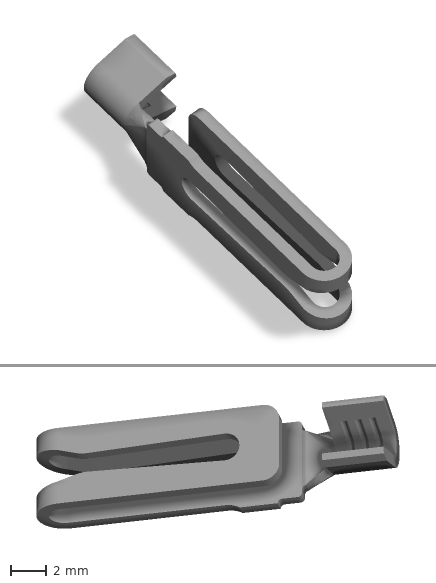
import cadquery as cq
import math

length = 20.65
thickness = 0.7
plate_half_height = 2.4

clip_depth = 3.15
bend_radius = clip_depth / 2
bend_x = length - bend_radius
return_leg_x = 6.22
return_corner_radius = 0.97

plate_x = 5.5
plate_corner_radius = 0.25
shoulder_half_height = 2.65
shoulder_step = shoulder_half_height - plate_half_height
shoulder_start_x = 6.9
shoulder_end_x = 9.1
shoulder_runout = 0.85
shoulder_runout_radius = (shoulder_runout**2 + shoulder_step**2) / (2 * shoulder_step)

slot_x = 8.53
slot_radius = 0.85
slot_throat_x = 17.72
slot_throat_half = 0.58
slot_bend_half = 1.0
slot_mouth_half = 1.3
slot_throat_blend = 2.06

barrel_length = 3.57
barrel_radius = 1.45
barrel_inner_radius = barrel_radius - thickness
wing_angle = math.radians(16)
wing_tip_y = 3.82
wing_bevel_y = 3.05
wing_edge_y = 3.74
wing_edge_half = 1.84

groove_count = 3
groove_width = 0.4
groove_pitch = 0.83
groove_depth = 0.19
groove_end_y = 2.58

neck_x = 5.27
neck_half_height = 1.73
neck_offset = 0.072
neck_facet_angle = math.radians(8)
neck_corner_width = 0.06


def barrel_arc_point(radius, side):
    """(y, z) where a barrel arc runs tangentially into a straight wing."""
    y = barrel_radius - radius * math.sin(wing_angle)
    return y, side * radius * math.cos(wing_angle)


def wing_point(radius, y, side):
    """(y, z) on the straight wing face that is tangent to the given barrel arc."""
    start_y, start_z = barrel_arc_point(radius, 1)
    return y, side * (start_z + (y - start_y) * math.tan(wing_angle))


def make_barrel():
    """Open barrel profile extruded along X."""
    outer_low = barrel_arc_point(barrel_radius, -1)
    inner_high = barrel_arc_point(barrel_inner_radius, 1)
    return (
        cq.Workplane("YZ")
        .moveTo(*outer_low)
        .threePointArc((0, 0), barrel_arc_point(barrel_radius, 1))
        .lineTo(*wing_point(barrel_radius, wing_bevel_y, 1))
        .lineTo(wing_edge_y, wing_edge_half)
        .lineTo(*wing_point(barrel_inner_radius, wing_tip_y, 1))
        .lineTo(*inner_high)
        .threePointArc((thickness, 0), barrel_arc_point(barrel_inner_radius, -1))
        .lineTo(*wing_point(barrel_inner_radius, wing_tip_y, -1))
        .lineTo(wing_edge_y, -wing_edge_half)
        .lineTo(*wing_point(barrel_radius, wing_bevel_y, -1))
        .close()
        .extrude(barrel_length)
    )


def groove_section(x, radius):
    """Wire across the barrel at x that follows the given arc and its wings up to the groove ends."""
    return (
        cq.Workplane("YZ", origin=(x, 0, 0))
        .moveTo(*barrel_arc_point(radius, -1))
        .threePointArc((barrel_radius - radius, 0), barrel_arc_point(radius, 1))
        .lineTo(*wing_point(radius, groove_end_y, 1))
        .lineTo(*wing_point(radius, groove_end_y, -1))
        .close()
        .val()
    )


def cut_grooves(barrel):
    """Cut the V grooves, evenly spaced about the middle of the barrel."""
    first_x = barrel_length / 2 - groove_pitch * (groove_count - 1) / 2
    for index in range(groove_count):
        center_x = first_x + index * groove_pitch
        sections = [
            groove_section(center_x - groove_width / 2, barrel_inner_radius),
            groove_section(center_x, barrel_inner_radius + groove_depth),
            groove_section(center_x + groove_width / 2, barrel_inner_radius),
        ]
        barrel = barrel.cut(cq.Workplane(cq.Solid.makeLoft(sections, True)))
    return barrel


def neck_arc_section():
    """Round neck section at the barrel; each arc is split into a narrow middle and two sides."""
    arc_end = math.pi / 2 - wing_angle
    side_middle = (arc_end + neck_facet_angle) / 2

    def at(radius, angle):
        return barrel_radius - radius * math.cos(angle), radius * math.sin(angle)

    def split_arc(section, radius, turn):
        return (
            section.threePointArc(at(radius, -turn * side_middle), at(radius, -turn * neck_facet_angle))
            .threePointArc(at(radius, 0), at(radius, turn * neck_facet_angle))
            .threePointArc(at(radius, turn * side_middle), at(radius, turn * arc_end))
        )

    section = cq.Workplane("YZ", origin=(barrel_length, 0, 0)).moveTo(*at(barrel_radius, -arc_end))
    section = split_arc(section, barrel_radius, 1).lineTo(*at(barrel_inner_radius, arc_end))
    return split_arc(section, barrel_inner_radius, -1).close().val()


def neck_flat_section():
    """Flat neck section next to the plate, split near its corners to match the arc section."""
    corner = neck_half_height
    split = neck_half_height - neck_corner_width
    front = neck_offset
    back = neck_offset + thickness
    front_points = [(front, z) for z in (-corner, -split, split, corner)]
    back_points = [(back, z) for z in (corner, split, -split, -corner)]
    return cq.Workplane("YZ", origin=(neck_x, 0, 0)).polyline(front_points + back_points).close().val()


def make_neck_root():
    """Short offset strip that joins the neck to the plate, widening in concave arcs."""
    radius = plate_x - neck_x
    edge_half = neck_half_height + radius
    arc_x = neck_x + radius * math.sin(math.pi / 4)
    arc_z = edge_half - radius * math.cos(math.pi / 4)
    outline = (
        cq.Workplane("XZ")
        .moveTo(neck_x, -neck_half_height)
        .lineTo(neck_x, neck_half_height)
        .threePointArc((arc_x, arc_z), (plate_x, edge_half))
        .lineTo(plate_x, -edge_half)
        .threePointArc((arc_x, -arc_z), (neck_x, -neck_half_height))
        .close()
        .extrude(-clip_depth)
    )
    strip_points = [
        (neck_x, neck_offset),
        (plate_x, 0),
        (plate_x, thickness),
        (neck_x, neck_offset + thickness),
    ]
    strip = cq.Workplane("XY").polyline(strip_points).close().extrude(edge_half, both=True)
    return strip.intersect(outline)


def make_neck():
    """Transition from the round barrel back to the flat plate."""
    taper = cq.Solid.makeLoft([neck_arc_section(), neck_flat_section()], True)
    return cq.Workplane(taper).union(make_neck_root())


def make_strip():
    """Constant-thickness U strip, tall enough to be trimmed to the plate outline."""
    inner_radius = bend_radius - thickness
    return (
        cq.Workplane("XY", origin=(0, 0, -shoulder_half_height))
        .moveTo(plate_x, 0)
        .lineTo(bend_x, 0)
        .threePointArc((length, bend_radius), (bend_x, clip_depth))
        .lineTo(return_leg_x, clip_depth)
        .lineTo(return_leg_x, clip_depth - thickness)
        .lineTo(bend_x, clip_depth - thickness)
        .threePointArc((bend_x + inner_radius, bend_radius), (bend_x, thickness))
        .lineTo(plate_x, thickness)
        .close()
        .extrude(2 * shoulder_half_height)
    )


def plate_block(x_start, corner_radius, y_start, y_end):
    """Block as high as the plate, with rounded left corners, spanning y_start to y_end."""
    return (
        cq.Workplane("XY")
        .box(length - x_start, y_end - y_start, 2 * plate_half_height, centered=(False, False, True))
        .translate((x_start, y_start, 0))
        .edges("|Y and <X")
        .fillet(corner_radius)
    )


def make_shoulder():
    """Raised edge on top of the front plate, with a concave blend at either end."""
    blend_angle = math.asin(shoulder_runout / shoulder_runout_radius) / 2
    runout_end_x = shoulder_end_x + shoulder_runout
    runout_mid = (
        runout_end_x - shoulder_runout_radius * math.sin(blend_angle),
        plate_half_height + shoulder_runout_radius * (1 - math.cos(blend_angle)),
    )
    step_start_x = shoulder_start_x - shoulder_step
    step_mid = (
        step_start_x + shoulder_step * math.sin(math.pi / 4),
        shoulder_half_height - shoulder_step * math.cos(math.pi / 4),
    )
    return (
        cq.Workplane("XZ")
        .moveTo(step_start_x, 0)
        .lineTo(step_start_x, plate_half_height)
        .threePointArc(step_mid, (shoulder_start_x, shoulder_half_height))
        .lineTo(shoulder_end_x, shoulder_half_height)
        .threePointArc(runout_mid, (runout_end_x, plate_half_height))
        .lineTo(runout_end_x, 0)
        .close()
        .extrude(-thickness)
    )


def make_slot():
    """Tapering slot through both legs, flaring open around the bend."""
    slot_center_x = slot_x + slot_radius
    slot = (
        cq.Workplane("XZ")
        .moveTo(slot_center_x, -slot_radius)
        .threePointArc((slot_x, 0), (slot_center_x, slot_radius))
        .lineTo(slot_throat_x, slot_throat_half)
        .lineTo(bend_x, slot_bend_half)
        .lineTo(length, slot_mouth_half)
        .lineTo(length, -slot_mouth_half)
        .lineTo(bend_x, -slot_bend_half)
        .lineTo(slot_throat_x, -slot_throat_half)
        .close()
        .extrude(-clip_depth)
    )
    throat = cq.selectors.BoxSelector(
        (slot_center_x + slot_radius, 0, -slot_radius),
        (bend_x - slot_radius, clip_depth, slot_radius),
    )
    return slot.edges("|Y").edges(throat).fillet(slot_throat_blend)


front_outline = plate_block(plate_x, plate_corner_radius, 0, bend_radius)
return_outline = plate_block(return_leg_x, return_corner_radius, bend_radius, clip_depth)
fork = make_strip().intersect(front_outline.union(return_outline))
shoulder = make_shoulder()
fork = fork.union(shoulder).union(shoulder.mirror("XY")).cut(make_slot())

barrel = cut_grooves(make_barrel())
result = barrel.union(make_neck()).union(fork)